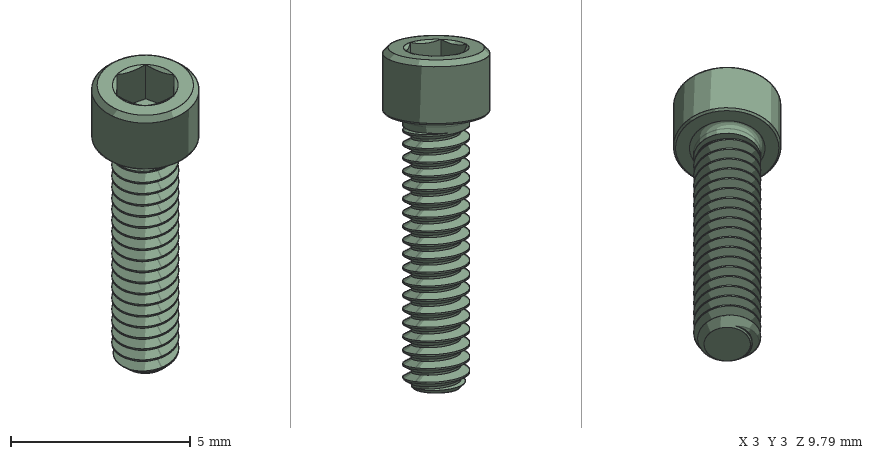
import cadquery as cq
import math

total_length = 9.79
head_diameter = 3.0
head_height = 1.85
head_top_chamfer = 0.16
head_bottom_chamfer = 0.06

socket_across_flats = 1.59
socket_depth = 1.22
socket_lead_in_angle = 30.0

neck_length = 0.38
neck_fillet_width = 0.12
neck_fillet_height = 0.2
neck_fillet_sag = 0.04

thread_diameter = 1.87
thread_pitch = 0.3965
flank_half_angle = 30.0
tip_radius = 0.65
crest_height_at_x = 0.33

head_radius = head_diameter / 2
head_base_z = total_length - head_height
neck_base_z = head_base_z - neck_length
thread_radius = thread_diameter / 2
thread_depth = 0.6134 * thread_pitch
core_radius = thread_radius - thread_depth
crest_width = thread_pitch / 8


def make_head():
    """Cylindrical head with chamfered rims."""
    head = cq.Workplane("XY").workplane(offset=head_base_z).circle(head_radius).extrude(head_height)
    head = head.faces(">Z").chamfer(head_top_chamfer)
    return head.faces("<Z").chamfer(head_bottom_chamfer)


def make_neck():
    """Plain neck that flares concavely into the underside of the head."""
    fillet_base = (thread_radius, head_base_z - neck_fillet_height)
    fillet_top = (thread_radius + neck_fillet_width, head_base_z)
    chord = math.hypot(neck_fillet_width, neck_fillet_height)
    fillet_middle = (
        (fillet_base[0] + fillet_top[0]) / 2 - neck_fillet_sag * neck_fillet_height / chord,
        (fillet_base[1] + fillet_top[1]) / 2 + neck_fillet_sag * neck_fillet_width / chord,
    )
    return (
        cq.Workplane("XZ")
        .moveTo(0, neck_base_z)
        .lineTo(thread_radius, neck_base_z)
        .lineTo(*fillet_base)
        .threePointArc(fillet_middle, fillet_top)
        .lineTo(0, head_base_z)
        .close()
        .revolve(360, (0, 0, 0), (0, 1, 0))
    )


def make_groove_turn():
    """One turn of the thread groove, starting on the +X side at Z = 0."""
    overshoot = 0.03
    flank_slope = math.tan(math.radians(flank_half_angle))
    mouth_half = (thread_pitch - crest_width) / 2
    root_half = mouth_half - thread_depth * flank_slope
    outer_half = mouth_half + overshoot * flank_slope
    outer_radius = thread_radius + overshoot
    helix = cq.Wire.makeHelix(thread_pitch, thread_pitch, core_radius)
    return (
        cq.Workplane("XZ")
        .polyline([
            (core_radius, -root_half),
            (outer_radius, -outer_half),
            (outer_radius, outer_half),
            (core_radius, root_half),
        ])
        .close()
        .sweep(cq.Workplane(obj=helix), isFrenet=True)
    )


def make_thread():
    """Rod with a chamfered tip and a helical groove cut turn by turn up to the neck."""
    thread = cq.Workplane("XY").circle(thread_radius).extrude(neck_base_z)
    thread = thread.faces("<Z").chamfer(thread_radius - tip_radius)
    groove_turn = make_groove_turn()
    start_z = crest_height_at_x - 2.5 * thread_pitch
    turn_count = math.ceil((neck_base_z - start_z) / thread_pitch) + 1
    for turn in range(turn_count):
        thread = thread.cut(groove_turn.translate((0, 0, start_z + turn * thread_pitch)))
    return thread


def make_socket():
    """Hexagon with corners on the Y axis and a conical lead-in at the head face."""
    corner_radius = socket_across_flats / 2 / math.cos(math.radians(30))
    hexagon = (
        cq.Workplane("XY")
        .workplane(offset=total_length - socket_depth)
        .polygon(6, 2 * corner_radius)
        .extrude(socket_depth)
        .rotate((0, 0, 0), (0, 0, 1), 90)
    )
    cone_depth = corner_radius * math.tan(math.radians(socket_lead_in_angle))
    lead_in = (
        cq.Workplane("XZ")
        .polyline([
            (0, total_length - cone_depth),
            (corner_radius, total_length),
            (0, total_length),
        ])
        .close()
        .revolve(360, (0, 0, 0), (0, 1, 0))
    )
    return hexagon.union(lead_in)


result = make_head().union(make_neck()).union(make_thread()).cut(make_socket())